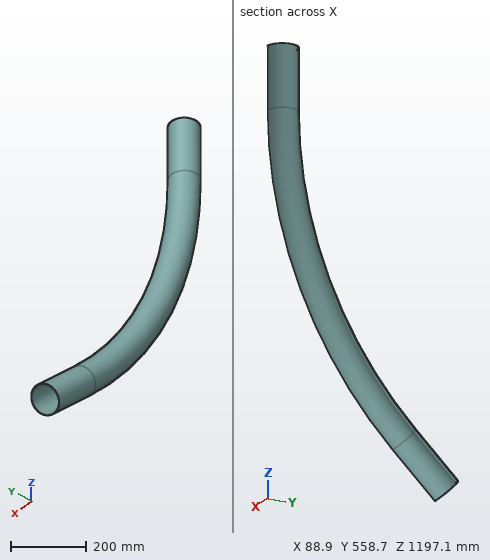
import cadquery as cq
import math

outer_diameter = 88.9
inner_diameter = 85.7
bend_radius = 1219.2
bend_angle = 45.0
straight_length = 177.8


def bend_point(angle):
    """Point (y, z) on the bend centreline after turning through the angle in degrees."""
    turn = math.radians(angle)
    return (bend_radius * (1 - math.cos(turn)), -bend_radius * math.sin(turn))


def tube_centreline():
    """Vertical straight, bend towards +Y, then a straight along the bend's exit direction."""
    exit_angle = math.radians(bend_angle)
    bend_end = bend_point(bend_angle)
    lower_end = (
        bend_end[0] + straight_length * math.sin(exit_angle),
        bend_end[1] - straight_length * math.cos(exit_angle),
    )
    return (
        cq.Workplane("YZ")
        .moveTo(0, straight_length)
        .lineTo(0, 0)
        .threePointArc(bend_point(bend_angle / 2), bend_end)
        .lineTo(*lower_end)
    )


result = (
    cq.Workplane("XY", origin=(0, 0, straight_length))
    .circle(outer_diameter / 2)
    .circle(inner_diameter / 2)
    .sweep(tube_centreline())
)